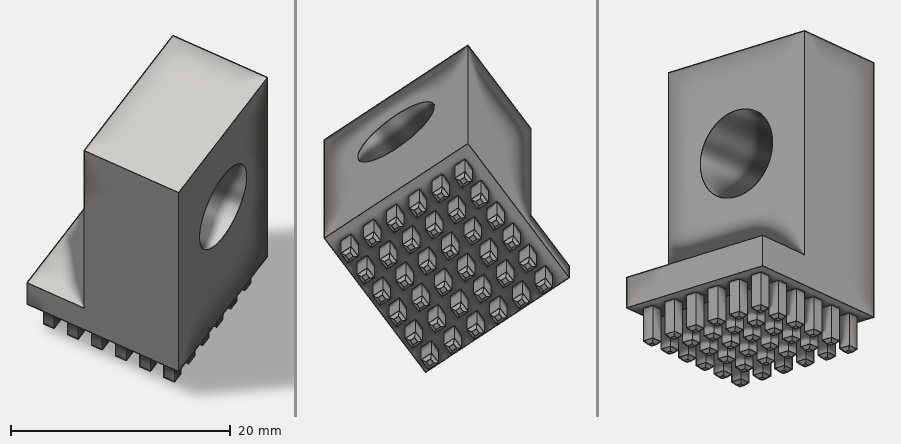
import cadquery as cq

total_height = 28.5
body_width = 16.0

pin_length = 3.5
base_thickness = 3.0
upright_thickness = 9.98

hole_diameter = 8.5
hole_depth_below_top = 10.0

pins_per_side = 6
pin_pitch = 2.55
pin_width = 1.15
pin_tip_height = 0.3
pin_tip_width = 0.5


def make_body():
    """L-shaped block: a base plate with a thick upright along its +X side."""
    left = -body_width / 2
    right = body_width / 2
    step_x = right - upright_thickness
    base_top = pin_length + base_thickness
    profile = [
        (left, pin_length),
        (right, pin_length),
        (right, total_height),
        (step_x, total_height),
        (step_x, base_top),
        (left, base_top),
    ]
    outline = cq.Workplane("XZ", origin=(0, body_width / 2, 0)).polyline(profile).close()
    return outline.extrude(body_width)


def make_hole():
    """Cylinder along X that passes right through the upright."""
    return (
        cq.Workplane("YZ", origin=(-body_width / 2, 0, 0))
        .center(0, total_height - hole_depth_below_top)
        .circle(hole_diameter / 2)
        .extrude(body_width)
    )


def make_pins():
    """Grid of square pins, each ending in a short tapered tip."""
    grid = (pin_pitch, pin_pitch, pins_per_side, pins_per_side)
    pin = (
        cq.Workplane("XY")
        .rect(pin_tip_width, pin_tip_width)
        .workplane(offset=pin_tip_height)
        .rect(pin_width, pin_width)
        .loft(ruled=True)
        .faces(">Z")
        .workplane()
        .rect(pin_width, pin_width)
        .extrude(pin_length - pin_tip_height)
    )
    return cq.Workplane("XY").rarray(*grid).eachpoint(pin.val())


result = make_body().cut(make_hole()).union(make_pins())